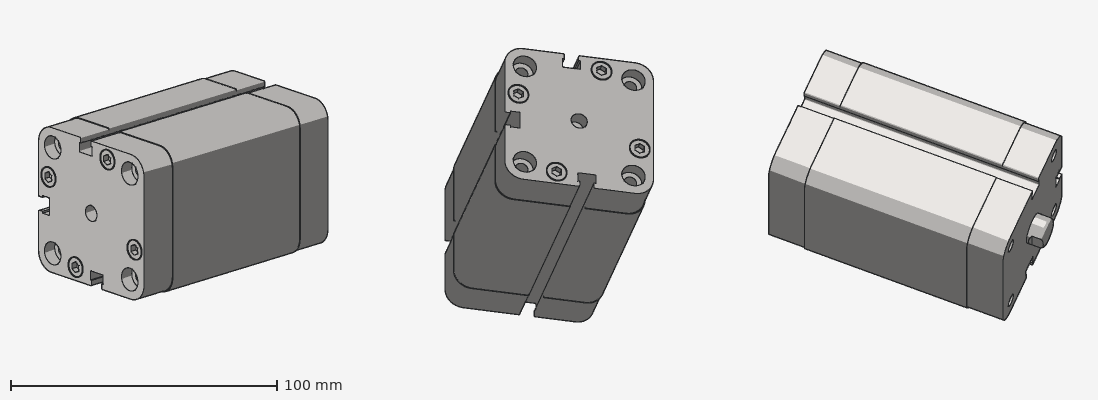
import cadquery as cq
import math

total_length = 102.0
rod_length = 6.5
cap_length = 14.7
body_length = total_length - rod_length
barrel_length = body_length - 2 * cap_length
front_y = -total_length / 2
rear_y = front_y + body_length

barrel_width = 58.1
cap_step = 0.3
cap_width = barrel_width - 2 * cap_step
corner_radius = 7.1

slot_mouth_width = 5.5
slot_floor_width = 6.9
slot_lip = 2.5
slot_depth = 6.2
slot_offset = 3.0
slot_floor_radius = 0.3
slot_edge_radius = 0.5
slot_angles = (0, -90, 180)

mount_pitch = 42.0
mount_hole_diameter = 4.9
mount_bore_diameter = 9.0
mount_bore_depth = 5.3

center_hole_diameter = 6.2
center_hole_depth = 6.1

screw_count = 4
screw_far_offset = 23.5
screw_near_offset = 8.7
screw_pocket_diameter = 8.0
screw_head_diameter = 7.5
screw_gap_depth = 0.4
socket_flats = 3.7
socket_diameter = socket_flats / math.cos(math.pi / 6)
socket_depth = 2.5

rod_diameter = 12.0
rod_end_radius = 1.3
rod_flats_width = 10.0
rod_flats_length = 4.7
rod_flat_depth = (rod_diameter - rod_flats_width) / 2


def plane_at(y):
    """Work plane across the axis: local x is -X, local y is +Z, extrusion goes to +Y."""
    return cq.Workplane(cq.Plane(origin=(0, y, 0), xDir=(-1, 0, 0), normal=(0, 1, 0)))


def slot_cutter(y, width, length):
    """Slot along the +Z face of a section; its mouth edges are rounded into that face."""
    face_z = width / 2
    floor_z = barrel_width / 2 - slot_depth
    lip_z = barrel_width / 2 - slot_lip
    half_mouth = slot_mouth_width / 2
    edge = slot_edge_radius
    throat = (
        plane_at(y)
        .moveTo(-half_mouth - edge, face_z)
        .radiusArc((-half_mouth, face_z - edge), edge)
        .lineTo(-half_mouth, floor_z)
        .lineTo(half_mouth, floor_z)
        .lineTo(half_mouth, face_z - edge)
        .radiusArc((half_mouth + edge, face_z), edge)
        .close()
        .extrude(length)
    )
    undercut = (
        plane_at(y)
        .center(0, (floor_z + lip_z) / 2)
        .rect(slot_floor_width, lip_z - floor_z)
        .extrude(length)
        .edges("|Y and <Z")
        .fillet(slot_floor_radius)
    )
    return throat.union(undercut).translate((-slot_offset, 0, 0))


def body_section(y, width, length):
    """Rounded square block with the sensor slots cut along it."""
    section = plane_at(y).rect(width, width).extrude(length).edges("|Y").fillet(corner_radius)
    slot = slot_cutter(y, width, length)
    for angle in slot_angles:
        section = section.cut(slot.rotate((0, 0, 0), (0, 1, 0), angle))
    return section


def mounting_holes():
    """Through holes with counterbores on the front side."""
    bores = plane_at(front_y).rect(mount_pitch, mount_pitch, forConstruction=True).vertices()
    holes = bores.circle(mount_hole_diameter / 2).extrude(body_length)
    return holes.union(bores.circle(mount_bore_diameter / 2).extrude(mount_bore_depth))


def screw_recess():
    """Gap around one screw head plus its hexagon socket, centred on the Y axis."""
    gap = (
        plane_at(front_y)
        .circle(screw_pocket_diameter / 2)
        .circle(screw_head_diameter / 2)
        .extrude(screw_gap_depth)
    )
    socket = (
        plane_at(front_y)
        .polygon(6, socket_diameter)
        .extrude(socket_depth)
        .rotate((0, 0, 0), (0, 1, 0), 90)
    )
    return gap.union(socket)


def piston_rod():
    """Rod stub with a rounded end and wrench flats that run out at 45 degrees."""
    end_y = total_length / 2
    flats_y = end_y - rod_flats_length
    half_flats = rod_flats_width / 2
    half_rod = rod_diameter / 2
    rod = plane_at(rear_y).circle(half_rod).extrude(rod_length).faces(">Y").edges().fillet(rod_end_radius)
    envelope = (
        cq.Workplane("XY")
        .moveTo(-half_rod, rear_y)
        .lineTo(half_rod, rear_y)
        .lineTo(half_rod, flats_y - rod_flat_depth)
        .lineTo(half_flats, flats_y)
        .lineTo(half_flats, end_y)
        .lineTo(-half_flats, end_y)
        .lineTo(-half_flats, flats_y)
        .lineTo(-half_rod, flats_y - rod_flat_depth)
        .close()
        .extrude(half_rod, both=True)
    )
    return rod.intersect(envelope)


body = (
    body_section(front_y, cap_width, cap_length)
    .union(body_section(front_y + cap_length, barrel_width, barrel_length))
    .union(body_section(rear_y - cap_length, cap_width, cap_length))
)

body = body.cut(mounting_holes())
body = body.cut(plane_at(front_y).circle(center_hole_diameter / 2).extrude(center_hole_depth))

for index in range(screw_count):
    turn = index * 2 * math.pi / screw_count
    x = screw_near_offset * math.cos(turn) - screw_far_offset * math.sin(turn)
    z = screw_near_offset * math.sin(turn) + screw_far_offset * math.cos(turn)
    body = body.cut(screw_recess().translate((x, 0, z)))

result = body.union(piston_rod())